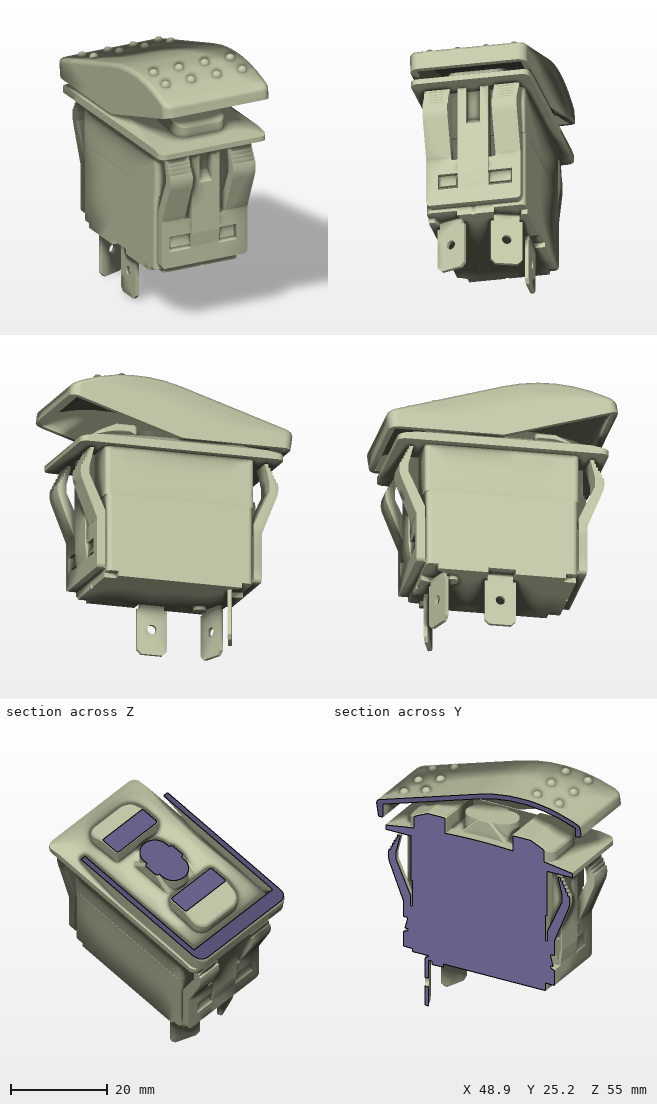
import cadquery as cq
import math


BEZEL_LENGTH = 44.55
BEZEL_WIDTH = 25.15
BEZEL_CORNER_RADIUS = 1.6
BEZEL_END_HEIGHT = 1.1
BEZEL_SIDE_HEIGHT = 1.7
BEZEL_CROWN_HEIGHT = 3.0
BEZEL_BEVEL_WIDTH = 2.15

UPPER_CASE_WIDTH = 20.9
UPPER_CASE_LENGTH = 32.55
LOWER_CASE_WIDTH = 21.0
LOWER_CASE_LENGTH = 31.9
CASE_STEP_Z = -10.4
CASE_BOTTOM_Z = -27.95
CASE_CORNER_RADIUS = 1.05

NOTCH_TOP_Z = -26.9
CORNER_NOTCH_LENGTH = 2.5
CORNER_NOTCH_WIDTH = 1.9
END_GROOVE_WIDTH = 0.9
END_GROOVE_DEPTH = 0.3

POST_INNER_X = 7.8
POST_OUTER_X = 17.2
POST_WIDTH = 11.9
POST_TOP_Z = 6.5
POST_SLOPE_START_X = 12.25
POST_SLOPE_END_Z = 4.3
POST_OUTER_RADIUS = 2.55
POST_INNER_RADIUS = 0.65
POST_EDGE_CHAMFER = 0.35
PIVOT_LENGTH = 12.0
PIVOT_WIDTH = 6.4
RAMP_BASE_HALF = 5.2
RAMP_WIDTH = 7.7
RAMP_EDGE_CHAMFER = 0.35

CLIP_WIDTH = 20.0
CLIP_OUTER_X = 18.05
CLIP_BOTTOM_Z = -26.2
CLIP_CORNER_RADIUS = 0.8
ARM_TOP_Z = -0.5
ARM_INNER_TIP_X = 18.7
ARM_OUTER_TIP_X = 19.5
ARM_INNER_BEND_X = 19.7
ARM_INNER_BEND_TOP_Z = -4.45
ARM_INNER_BEND_BOTTOM_Z = -6.4
ARM_CROTCH_Z = -13.8
ARM_FOOT_Z = -15.65
TOOTH_COUNT = 5
TOOTH_DEPTH = 0.395
TOOTH_HEIGHT = 0.75
ARM_BULGE_X = 21.65
ARM_BULGE_Z = -5.55
ARM_BULGE_END_X = 21.3
ARM_BULGE_END_Z = -7.6
ARM_GAP_WIDTH = 9.45
ARM_GAP_BOTTOM_Z = -16.15
ARM_GAP_RADIUS = 0.45
BACKING_WIDTH = 18.7

WINDOW_Y_MIN = -8.25
WINDOW_Y_MAX = 7.55
WINDOW_TOP_Z = -19.25
WINDOW_BOTTOM_Z = -22.65
WINDOW_SILL_RISE = 0.45
WINDOW_DEPTH = 1.0
HOOK_BOTTOM_Z = -21.85
HOOK_HEIGHT = 0.65
HOOK_SPANS = [(-7.85, -3.4), (3.8, 7.1)]

RIB_OUTER_X = 18.4
RIB_WIDTH = 6.5
RIB_TAPER_TOP_Z = -19.25
RIB_BOTTOM_Z = -22.2
RIB_SLOT_WIDTH = 2.95
RIB_SLOT_FLOOR_X = 16.3
RIB_SLOT_RAMP_Z = -6.3
RIB_SLOT_BOTTOM_Z = -8.25

BLADE_WIDTH = 6.5
BLADE_THICKNESS = 0.8
BLADE_TIP_Z = -38.6
BLADE_SHOULDER_Z = -28.85
BLADE_NECK_WIDTH = 5.35
BLADE_TIP_CHAMFER = 0.95
BLADE_ROOT_CHAMFER = 0.75
BLADE_HOLE_DIAMETER = 2.0
BLADE_HOLE_Z = -33.1
BLADE_NOTCH_WIDTH = 5.85
BLADE_NOTCH_REACH = 6.6
SIDE_BLADE_Y = -8.4
END_BLADE_X = -12.85
END_BLADE_Y = 5.95
END_BLADE_TILT = 20.0

PIP_DIAMETER = 2.8
PIP_HEIGHT = 0.75
PIP_X = -9.85
PIP_Y = -5.95

ROCKER_WIDTH = 24.8
ROCKER_LEFT_BOTTOM_X = -24.05
ROCKER_LEFT_TOP_X = -24.6
ROCKER_LEFT_TOP_Z = 6.4
ROCKER_APEX_Z = 2.65
ROCKER_RIGHT_X = 24.4
ROCKER_RIGHT_BOTTOM_Z = 10.1
ROCKER_RIGHT_TOP_X = 24.1
ROCKER_CREST_Z = 13.95
ROCKER_SLOPE = math.atan2(ROCKER_CREST_Z - ROCKER_LEFT_TOP_Z, -ROCKER_LEFT_TOP_X)
ROCKER_TOP_RADIUS = 34.05
ROCKER_CORNER_RADIUS = 2.05
ROCKER_EDGE_RADIUS = 1.05
ROCKER_WALL = 1.2

BUMP_DIAMETER = 2.0
BUMP_COLUMNS_X = [-19.3, -14.1, 12.3, 17.6]
BUMP_PITCH_Y = 6.0
BUMP_ROWS = 4


def box_between(x_range, y_range, z_range):
    """Box spanning the given ranges."""
    size = [high - low for low, high in (x_range, y_range, z_range)]
    low_corner = (x_range[0], y_range[0], z_range[0])
    return cq.Workplane("XY").box(*size, centered=False).translate(low_corner)


def extrude_along_y(outline, y_min, y_max):
    """Extrude a closed XZ outline between two Y positions."""
    return outline.extrude(y_max - y_min).translate((0, y_max, 0))


def mirrored_in_x(solid):
    """The solid joined with its mirror image across the YZ plane."""
    return solid.union(solid.mirror("YZ"))


def make_bezel():
    half_length = BEZEL_LENGTH / 2
    half_width = BEZEL_WIDTH / 2
    crown = (
        cq.Workplane("XZ")
        .moveTo(-half_length, 0)
        .lineTo(-half_length, BEZEL_END_HEIGHT)
        .threePointArc((0, BEZEL_CROWN_HEIGHT), (half_length, BEZEL_END_HEIGHT))
        .lineTo(half_length, 0)
        .close()
        .extrude(half_width, both=True)
        .edges("|Z")
        .fillet(BEZEL_CORNER_RADIUS)
    )
    bevel_top = half_width - BEZEL_BEVEL_WIDTH
    bevelled_section = (
        cq.Workplane("YZ")
        .polyline([
            (-half_width, 0),
            (-half_width, BEZEL_SIDE_HEIGHT),
            (-bevel_top, BEZEL_CROWN_HEIGHT),
            (bevel_top, BEZEL_CROWN_HEIGHT),
            (half_width, BEZEL_SIDE_HEIGHT),
            (half_width, 0),
        ])
        .close()
        .extrude(half_length, both=True)
    )
    return crown.intersect(bevelled_section)


def make_case_section(length, width, z_bottom, z_top):
    section = box_between(
        (-length / 2, length / 2), (-width / 2, width / 2), (z_bottom, z_top)
    )
    return section.edges("|Z").fillet(CASE_CORNER_RADIUS)


def make_case():
    upper = make_case_section(UPPER_CASE_LENGTH, UPPER_CASE_WIDTH, CASE_STEP_Z, 0)
    lower = make_case_section(LOWER_CASE_LENGTH, LOWER_CASE_WIDTH, CASE_BOTTOM_Z, CASE_STEP_Z)
    case = upper.union(lower)
    half_length = LOWER_CASE_LENGTH / 2
    half_width = LOWER_CASE_WIDTH / 2
    for x_side in (-1, 1):
        for y_side in (-1, 1):
            notch = cq.Workplane("XY").box(
                2 * CORNER_NOTCH_LENGTH, 2 * CORNER_NOTCH_WIDTH, 2 * (NOTCH_TOP_Z - CASE_BOTTOM_Z)
            )
            case = case.cut(notch.translate((x_side * half_length, y_side * half_width, CASE_BOTTOM_Z)))
    groove = box_between(
        (half_length - END_GROOVE_DEPTH, half_length), (0, END_GROOVE_WIDTH), (CASE_BOTTOM_Z, CLIP_BOTTOM_Z)
    )
    return case.cut(mirrored_in_x(groove))


def make_posts():
    outline = (
        cq.Workplane("XZ")
        .polyline([
            (POST_INNER_X, 0),
            (POST_INNER_X, POST_TOP_Z),
            (POST_SLOPE_START_X, POST_TOP_Z),
            (POST_OUTER_X, POST_SLOPE_END_Z),
            (POST_OUTER_X, 0),
        ])
        .close()
    )
    post = (
        extrude_along_y(outline, -POST_WIDTH / 2, POST_WIDTH / 2)
        .edges("|Z and >X").fillet(POST_OUTER_RADIUS)
        .edges("|Z and <X").fillet(POST_INNER_RADIUS)
    )
    slope_middle = ((POST_SLOPE_START_X + POST_OUTER_X) / 2, 0, (POST_TOP_Z + POST_SLOPE_END_Z) / 2)
    slope_face = cq.selectors.NearestToPointSelector(slope_middle)
    top_face = cq.selectors.DirectionMinMaxSelector(cq.Vector(0, 0, 1))
    post = post.faces(slope_face + top_face).edges("not |Y").chamfer(POST_EDGE_CHAMFER)
    return mirrored_in_x(post)


def make_pivot_block():
    """Round-ended block with a wider ramp-ended block across it."""
    block = cq.Workplane("XY").slot2D(PIVOT_LENGTH, PIVOT_WIDTH).extrude(POST_TOP_Z)
    ramp_top_half = RAMP_BASE_HALF - (POST_TOP_Z - BEZEL_CROWN_HEIGHT)
    outline = (
        cq.Workplane("XZ")
        .polyline([
            (-RAMP_BASE_HALF, 0),
            (-RAMP_BASE_HALF, BEZEL_CROWN_HEIGHT),
            (-ramp_top_half, POST_TOP_Z),
            (ramp_top_half, POST_TOP_Z),
            (RAMP_BASE_HALF, BEZEL_CROWN_HEIGHT),
            (RAMP_BASE_HALF, 0),
        ])
        .close()
    )
    ramp = extrude_along_y(outline, -RAMP_WIDTH / 2, RAMP_WIDTH / 2)
    ramp = ramp.faces("|Y").edges("not (|X or |Z)").chamfer(RAMP_EDGE_CHAMFER)
    return block.union(ramp)


def make_clip():
    """Clip at the +X end: a plate with two toothed spring arms rising from it."""
    plate_x = UPPER_CASE_LENGTH / 2
    teeth = []
    for index in range(TOOTH_COUNT):
        tooth_x = ARM_OUTER_TIP_X + index * TOOTH_DEPTH
        tooth_bottom = ARM_TOP_Z - (index + 1) * TOOTH_HEIGHT
        teeth.append((tooth_x, tooth_bottom))
        teeth.append((tooth_x + TOOTH_DEPTH, tooth_bottom))
    outline = (
        cq.Workplane("XZ")
        .moveTo(ARM_INNER_TIP_X, ARM_TOP_Z)
        .lineTo(ARM_OUTER_TIP_X, ARM_TOP_Z)
        .polyline(teeth, includeCurrent=True)
        .threePointArc((ARM_BULGE_X, ARM_BULGE_Z), (ARM_BULGE_END_X, ARM_BULGE_END_Z))
        .lineTo(CLIP_OUTER_X, ARM_FOOT_Z)
        .lineTo(CLIP_OUTER_X, CLIP_BOTTOM_Z)
        .lineTo(plate_x, CLIP_BOTTOM_Z)
        .lineTo(plate_x, ARM_CROTCH_Z)
        .lineTo(ARM_INNER_BEND_X, ARM_INNER_BEND_BOTTOM_Z)
        .lineTo(ARM_INNER_BEND_X, ARM_INNER_BEND_TOP_Z)
        .close()
    )
    clip = extrude_along_y(outline, -CLIP_WIDTH / 2, CLIP_WIDTH / 2)
    clip = clip.edges("|X and <Z").fillet(CLIP_CORNER_RADIUS)
    gap = box_between(
        (plate_x, ARM_BULGE_X + TOOTH_DEPTH), (-ARM_GAP_WIDTH / 2, ARM_GAP_WIDTH / 2), (ARM_GAP_BOTTOM_Z, 0)
    )
    clip = clip.cut(gap.edges("|X and <Z").fillet(ARM_GAP_RADIUS))
    clip = clip.cut(make_window_cutter())
    backing = box_between(
        (LOWER_CASE_LENGTH / 2, plate_x),
        (-BACKING_WIDTH / 2, BACKING_WIDTH / 2),
        (CLIP_BOTTOM_Z, ARM_GAP_BOTTOM_Z),
    )
    return clip.union(backing)


def make_window_cutter():
    """Window recess with a sloped sill, less the rib and the ramped hooks left standing in it."""
    floor_x = CLIP_OUTER_X - WINDOW_DEPTH
    recess = (
        cq.Workplane("XZ")
        .polyline([
            (floor_x, WINDOW_TOP_Z),
            (CLIP_OUTER_X, WINDOW_TOP_Z),
            (CLIP_OUTER_X, WINDOW_BOTTOM_Z),
            (floor_x, WINDOW_BOTTOM_Z + WINDOW_SILL_RISE),
        ])
        .close()
    )
    cutter = extrude_along_y(recess, WINDOW_Y_MIN, WINDOW_Y_MAX)
    cutter = cutter.cut(
        box_between((floor_x, CLIP_OUTER_X), (-RIB_WIDTH / 2, RIB_WIDTH / 2), (WINDOW_BOTTOM_Z, WINDOW_TOP_Z))
    )
    for y_min, y_max in HOOK_SPANS:
        outline = (
            cq.Workplane("XZ")
            .polyline([
                (floor_x, WINDOW_TOP_Z),
                (floor_x + HOOK_HEIGHT, HOOK_BOTTOM_Z),
                (floor_x, HOOK_BOTTOM_Z),
            ])
            .close()
        )
        cutter = cutter.cut(extrude_along_y(outline, y_min, y_max))
    return cutter


def make_rib():
    """Rib at the +X end, tapered at its foot and slotted at its top."""
    case_x = LOWER_CASE_LENGTH / 2
    outline = (
        cq.Workplane("XZ")
        .polyline([
            (case_x, 0),
            (RIB_OUTER_X, 0),
            (RIB_OUTER_X, RIB_TAPER_TOP_Z),
            (CLIP_OUTER_X, RIB_BOTTOM_Z),
            (case_x, RIB_BOTTOM_Z),
        ])
        .close()
    )
    slot_outline = (
        cq.Workplane("XZ")
        .polyline([
            (RIB_SLOT_FLOOR_X, 0),
            (RIB_OUTER_X, 0),
            (RIB_OUTER_X, RIB_SLOT_BOTTOM_Z),
            (RIB_SLOT_FLOOR_X, RIB_SLOT_RAMP_Z),
        ])
        .close()
    )
    rib = extrude_along_y(outline, -RIB_WIDTH / 2, RIB_WIDTH / 2)
    return rib.cut(extrude_along_y(slot_outline, -RIB_SLOT_WIDTH / 2, RIB_SLOT_WIDTH / 2))


def make_blade():
    """Blade facing -Y, with the outer face of the blade on Y = 0."""
    half_width = BLADE_WIDTH / 2
    body = (
        box_between((-half_width, half_width), (0, BLADE_THICKNESS), (BLADE_TIP_Z, BLADE_SHOULDER_Z))
        .edges("|Y and <Z").chamfer(BLADE_TIP_CHAMFER)
    )
    half_neck = BLADE_NECK_WIDTH / 2
    neck = (
        box_between((-half_neck, half_neck), (0, BLADE_THICKNESS), (BLADE_SHOULDER_Z, NOTCH_TOP_Z))
        .edges("<Y and >Z").chamfer(BLADE_ROOT_CHAMFER)
    )
    hole = (
        cq.Workplane("XZ")
        .center(0, BLADE_HOLE_Z)
        .circle(BLADE_HOLE_DIAMETER / 2)
        .extrude(-BLADE_THICKNESS)
    )
    return body.union(neck).cut(hole)


def make_blade_notch():
    """Clearance in the case bottom in front of a blade's root."""
    half_notch = BLADE_NOTCH_WIDTH / 2
    return box_between(
        (-half_notch, half_notch), (-BLADE_NOTCH_REACH, BLADE_THICKNESS), (CASE_BOTTOM_Z, NOTCH_TOP_Z)
    )


def place_blade(solid, angle, position):
    """Turn a blade feature about the vertical axis, then move it to its place."""
    return solid.rotate((0, 0, 0), (0, 0, 1), angle).translate((*position, 0))


def make_housing():
    end_fittings = make_clip().union(make_rib())
    housing = make_case().union(make_bezel()).union(mirrored_in_x(end_fittings))
    housing = housing.union(make_posts()).union(make_pivot_block())
    blade_places = [
        (0, (0, SIDE_BLADE_Y)),
        (-90 + END_BLADE_TILT, (END_BLADE_X, -END_BLADE_Y)),
        (-90 - END_BLADE_TILT, (END_BLADE_X, END_BLADE_Y)),
    ]
    for angle, position in blade_places:
        housing = housing.cut(place_blade(make_blade_notch(), angle, position))
    for angle, position in blade_places:
        housing = housing.union(place_blade(make_blade(), angle, position))
    pip = (
        cq.Workplane("XY", origin=(PIP_X, PIP_Y, CASE_BOTTOM_Z))
        .circle(PIP_DIAMETER / 2)
        .extrude(-PIP_HEIGHT)
    )
    return housing.union(pip)


ARC_CENTRE_X = ROCKER_TOP_RADIUS * math.sin(ROCKER_SLOPE)
ARC_CENTRE_Z = ROCKER_CREST_Z - ROCKER_TOP_RADIUS * math.cos(ROCKER_SLOPE)


def rocker_top_z(x):
    """Height of the rocker's top: a straight slope up to X = 0, then a tangent arc."""
    if x <= 0:
        return ROCKER_CREST_Z + x * math.tan(ROCKER_SLOPE)
    return ARC_CENTRE_Z + math.sqrt(ROCKER_TOP_RADIUS**2 - (x - ARC_CENTRE_X) ** 2)


def rocker_outline():
    return (
        cq.Workplane("XZ")
        .moveTo(0, ROCKER_APEX_Z)
        .lineTo(ROCKER_RIGHT_X, ROCKER_RIGHT_BOTTOM_Z)
        .lineTo(ROCKER_RIGHT_TOP_X, rocker_top_z(ROCKER_RIGHT_TOP_X))
        .threePointArc((ARC_CENTRE_X, rocker_top_z(ARC_CENTRE_X)), (0, ROCKER_CREST_Z))
        .lineTo(ROCKER_LEFT_TOP_X, ROCKER_LEFT_TOP_Z)
        .lineTo(ROCKER_LEFT_BOTTOM_X, ROCKER_APEX_Z)
        .close()
    )


def make_rocker_cavity():
    """Hollow open at the bottom, one wall thickness inside the ends, sides and top."""
    inner_half = ROCKER_WIDTH / 2 - ROCKER_WALL
    lowered = rocker_outline().extrude(inner_half, both=True).translate((0, 0, -ROCKER_WALL))
    end_limit = box_between(
        (ROCKER_LEFT_BOTTOM_X + ROCKER_WALL, ROCKER_RIGHT_TOP_X - ROCKER_WALL),
        (-inner_half, inner_half),
        (0, ROCKER_CREST_Z + ROCKER_WALL),
    )
    return lowered.intersect(end_limit)


def make_rocker():
    rocker = rocker_outline().extrude(ROCKER_WIDTH / 2, both=True)
    rocker = rocker.faces("<X or >X").edges("not |Y").fillet(ROCKER_CORNER_RADIUS)

    slope_x = ROCKER_LEFT_TOP_X / 2
    slope_face = cq.selectors.NearestToPointSelector((slope_x, 0, rocker_top_z(slope_x)))
    arc_x = ROCKER_RIGHT_TOP_X / 2
    arc_face = cq.selectors.NearestToPointSelector((arc_x, 0, rocker_top_z(arc_x)))
    crest_line = cq.selectors.NearestToPointSelector((0, 0, ROCKER_CREST_Z))
    rocker = rocker.faces(slope_face + arc_face).edges(-crest_line).fillet(ROCKER_EDGE_RADIUS)

    rocker = rocker.cut(make_rocker_cavity())
    for x in BUMP_COLUMNS_X:
        for row in range(BUMP_ROWS):
            y = (row - (BUMP_ROWS - 1) / 2) * BUMP_PITCH_Y
            bump = cq.Workplane("XY").sphere(BUMP_DIAMETER / 2)
            rocker = rocker.union(bump.translate((x, y, rocker_top_z(x))))
    return rocker


housing = make_housing()
rocker = make_rocker()
result = cq.Compound.makeCompound([housing.solids().val(), rocker.solids().val()])